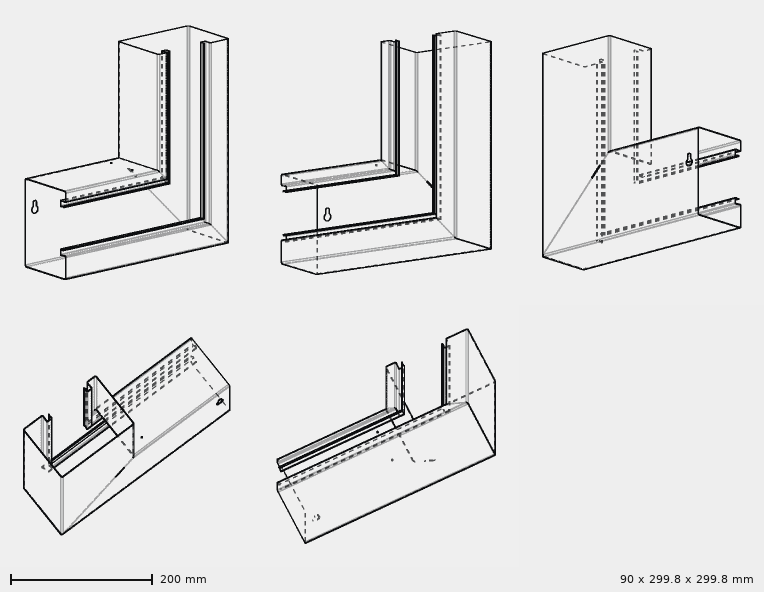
import cadquery as cq
import math

elbow_size = 299.8
channel_depth = 90.0
leg_width = 130.0
sheet = 1.2

corner_radius = 3.0
lip_end_radius = 2.5
clip_radius = 1.5

outer_lip = 35.5
inner_lip = 17.0

clip_depth = 12.5
clip_lean = 0.5
clip_reach = 7.0
return_kink_depth = 7.0
return_kink_reach = 6.0
return_tip_depth = 4.2

keyhole_diameter = 11.0
keyhole_slot_width = 6.0
keyhole_end_distance = 17.5
keyhole_height = 81.3
keyhole_slot_rise = 10.2

pin_hole_diameter = 2.0
pin_hole_places_x = (16.2, 63.0)
pin_hole_from_inner_wall = 25.2

seam_slot_length = 21.5
seam_slot_width = 1.8
seam_slot_depth = sheet / 2
seam_slot_from_corner = 104.0


def lip_and_clip(lip_length):
    """Outside surface from a wall corner to the clip tip: (x, distance from the wall, bend radius)."""
    hook_x = channel_depth - clip_depth + sheet
    return [
        (channel_depth, 0, corner_radius),
        (channel_depth, lip_length, lip_end_radius),
        (hook_x, lip_length - clip_lean, clip_radius),
        (hook_x, lip_length + clip_reach, clip_radius),
        (channel_depth - return_kink_depth, lip_length + return_kink_reach, 0),
        (channel_depth - return_tip_depth, lip_length + clip_reach, 0),
    ]


def unit(start, end):
    length = math.dist(start, end)
    return ((end[0] - start[0]) / length, (end[1] - start[1]) / length)


def offset_path(path, distance):
    """Shift an open path to its left by a distance, keeping its corners mitred."""
    shifted = []
    for i, point in enumerate(path):
        before = unit(path[max(i - 1, 0)], path[max(i, 1)])
        after = unit(path[min(i, len(path) - 2)], path[min(i + 1, len(path) - 1)])
        spread = 1 + before[0] * after[0] + before[1] * after[1]
        shift_x = -(before[1] + after[1]) * distance / spread
        shift_y = (before[0] + after[0]) * distance / spread
        shifted.append((point[0] + shift_x, point[1] + shift_y))
    return shifted


def turns_left(before, corner, after):
    first = unit(before, corner)
    second = unit(corner, after)
    return first[0] * second[1] - first[1] * second[0] > 0


def channel_section():
    """Bent-sheet cross-section as a face in XY, with the outer wall on the +Y side."""
    outer_side = [(x, elbow_size - u, r) for x, u, r in reversed(lip_and_clip(outer_lip))]
    web = [(0, elbow_size, corner_radius), (0, elbow_size - leg_width, corner_radius)]
    inner_side = [(x, elbow_size - leg_width + u, r) for x, u, r in lip_and_clip(inner_lip)]
    bends = outer_side + web + inner_side

    outside = [(x, y) for x, y, _ in bends]
    inside = offset_path(outside, sheet)
    section = cq.Face.makeFromWires(cq.Wire.makePolygon(
        [cq.Vector(x, y, 0) for x, y in outside + inside[::-1]], close=True))

    for i in range(1, len(bends) - 1):
        radius = bends[i][2]
        if radius == 0:
            continue
        inside_is_tight = turns_left(*outside[i - 1:i + 2])
        outside_radius = radius if inside_is_tight else radius - sheet
        inside_radius = radius - sheet if inside_is_tight else radius
        for corner, bend_radius in ((outside[i], outside_radius), (inside[i], inside_radius)):
            vertex = min(section.Vertices(), key=lambda v: math.dist((v.X, v.Y), corner))
            section = section.fillet2D(bend_radius, [vertex])
    return section


def mitred_leg():
    """The Z leg, cut on the plane y + z = elbow_size."""
    straight = cq.Workplane(cq.Solid.extrudeLinear(channel_section(), cq.Vector(0, 0, elbow_size)))
    mitre_side = (
        cq.Workplane("YZ")
        .polyline([(elbow_size, 0), (elbow_size, elbow_size), (0, elbow_size)])
        .close()
        .extrude(channel_depth)
    )
    return straight.intersect(mitre_side)


def keyhole():
    y = keyhole_end_distance
    slot_top = keyhole_height + keyhole_slot_rise
    web_plane = cq.Workplane("YZ")
    entry = web_plane.center(y, keyhole_height).circle(keyhole_diameter / 2).extrude(sheet)
    neck = (
        web_plane.center(y, keyhole_height + keyhole_slot_rise / 2)
        .rect(keyhole_slot_width, keyhole_slot_rise)
        .extrude(sheet)
    )
    neck_end = web_plane.center(y, slot_top).circle(keyhole_slot_width / 2).extrude(sheet)
    return entry.union(neck).union(neck_end)


def pin_holes():
    y = elbow_size - leg_width - pin_hole_from_inner_wall
    return (
        cq.Workplane("XY", origin=(0, 0, leg_width - sheet))
        .pushPoints([(x, y) for x in pin_hole_places_x])
        .circle(pin_hole_diameter / 2)
        .extrude(sheet)
    )


def seam_slot():
    return (
        cq.Workplane("YZ")
        .center(elbow_size - seam_slot_from_corner, seam_slot_from_corner)
        .transformed(rotate=(0, 0, -45))
        .rect(seam_slot_length, seam_slot_width)
        .extrude(seam_slot_depth)
    )


z_leg = mitred_leg()
y_leg = z_leg.mirror(cq.Vector(0, 1, 1), (0, elbow_size, 0))

result = z_leg.union(y_leg, clean=False)
for opening in (keyhole(), pin_holes(), seam_slot()):
    result = result.cut(opening, clean=False)